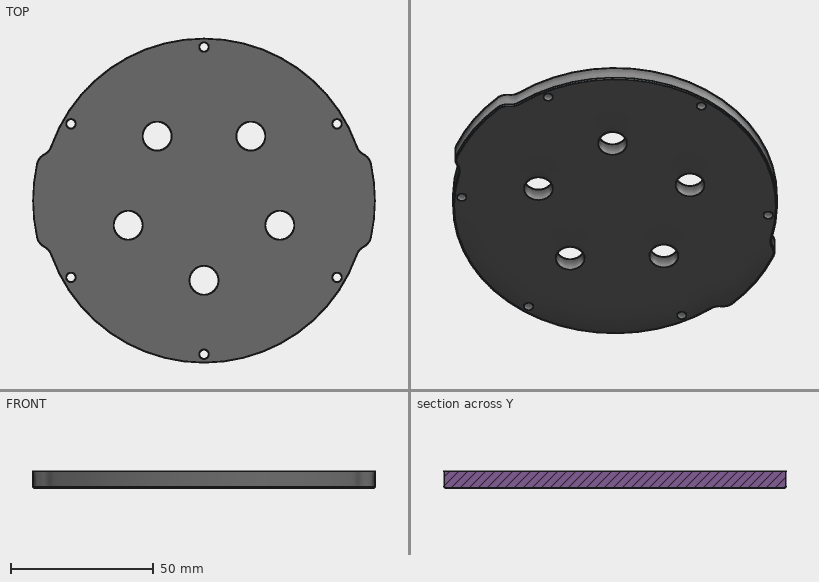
import cadquery as cq
import math

THICKNESS = 6.0
DISC_RADIUS = 57.0
BOTTOM_CHAMFER = 0.5

LOBE_RADIUS = 60.2
BLEND_RADIUS = 4.9
FOOT_ANGLE = 19.5
CREST_ANGLE = 12.4

LARGE_HOLE_COUNT = 5
LARGE_HOLE_DIAMETER = 10.1
LARGE_HOLE_CIRCLE_RADIUS = 28.0
SMALL_HOLE_COUNT = 6
SMALL_HOLE_DIAMETER = 3.2
SMALL_HOLE_CIRCLE_RADIUS = 54.0


def polar(radius, degrees, center=(0.0, 0.0)):
    """Point at a radius and angle around a center."""
    angle = math.radians(degrees)
    return (center[0] + radius * math.cos(angle), center[1] + radius * math.sin(angle))


def lobe_shoulder():
    """Points of the upper right shoulder, from the lobe crest up to the disc.

    A convex arc and a concave arc of equal radius are joined by their common tangent line.
    """
    convex_center = polar(LOBE_RADIUS - BLEND_RADIUS, CREST_ANGLE)
    concave_center = polar(DISC_RADIUS + BLEND_RADIUS, FOOT_ANGLE)
    dx = concave_center[0] - convex_center[0]
    dy = concave_center[1] - convex_center[1]
    center_direction = math.degrees(math.atan2(dy, dx))
    tangent_offset = math.degrees(math.acos(2 * BLEND_RADIUS / math.hypot(dx, dy)))
    line_normal = center_direction - tangent_offset

    concave_start = line_normal + 180
    concave_end = FOOT_ANGLE + 180
    return [
        polar(LOBE_RADIUS, CREST_ANGLE),
        polar(BLEND_RADIUS, (CREST_ANGLE + line_normal) / 2, convex_center),
        polar(BLEND_RADIUS, line_normal, convex_center),
        polar(BLEND_RADIUS, concave_start, concave_center),
        polar(BLEND_RADIUS, (concave_start + concave_end) / 2, concave_center),
        polar(DISC_RADIUS, FOOT_ANGLE),
    ]


def add_shoulder(outline, points):
    """Continue the outline along arc, line, arc; it already stands at the first point."""
    _, first_middle, line_start, line_end, second_middle, end = points
    outline = outline.threePointArc(first_middle, line_start)
    outline = outline.lineTo(*line_end)
    return outline.threePointArc(second_middle, end)


def plate():
    """Lobed disc with its bottom outer edge chamfered."""
    upper_right = lobe_shoulder()
    start = (upper_right[0][0], -upper_right[0][1])
    outline = cq.Workplane("XY").moveTo(*start)
    for side in (1, -1):
        rising = [(side * x, side * y) for x, y in upper_right]
        falling = [(-side * x, side * y) for x, y in reversed(upper_right)]
        outline = outline.threePointArc((side * LOBE_RADIUS, 0), rising[0])
        outline = add_shoulder(outline, rising)
        outline = outline.threePointArc((0, side * DISC_RADIUS), falling[0])
        outline = add_shoulder(outline, falling)
    return outline.close().extrude(THICKNESS).faces("<Z").edges().chamfer(BOTTOM_CHAMFER)


def hole_ring(circle_radius, count, diameter, first_angle):
    """Cylinders for a ring of evenly spaced through holes."""
    ring = cq.Workplane("XY").polarArray(circle_radius, first_angle, 360, count)
    return ring.circle(diameter / 2).extrude(THICKNESS)


large_holes = hole_ring(LARGE_HOLE_CIRCLE_RADIUS, LARGE_HOLE_COUNT, LARGE_HOLE_DIAMETER, -90)
small_holes = hole_ring(SMALL_HOLE_CIRCLE_RADIUS, SMALL_HOLE_COUNT, SMALL_HOLE_DIAMETER, 90)

result = plate().cut(large_holes).cut(small_holes)